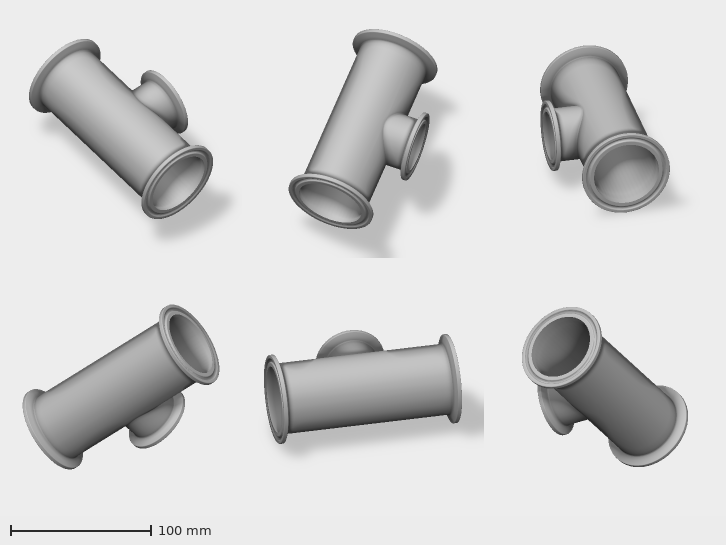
import cadquery as cq
import math

RUN_LENGTH = 130.2
RUN_OUTER_DIAMETER = 50.8
RUN_BORE_DIAMETER = 47.5
RUN_FLANGE_DIAMETER = 63.9

BRANCH_OUTER_DIAMETER = 38.1
BRANCH_BORE_DIAMETER = 34.8
BRANCH_FLANGE_DIAMETER = 50.5
OVERALL_DEPTH = 73.3
BRANCH_REACH = OVERALL_DEPTH - RUN_FLANGE_DIAMETER / 2

RIM_WIDTH = 2.9
CONE_ANGLE = 20.0
RIM_ROUND = 0.5
ROOT_FILLET = 1.0
GROOVE_INSET = 3.9
GROOVE_RADIUS = 1.3
GROOVE_LIP_ROUND = 0.7

JUNCTION_FILLET = 1.0


def clamped_tube(length, tube_diameter, flange_diameter):
    """Solid bar along +Z with a clamp flange whose sealing face is at Z = 0."""
    tube_radius = tube_diameter / 2
    rim_radius = flange_diameter / 2
    cone_length = (rim_radius - tube_radius) * math.tan(math.radians(CONE_ANGLE))

    outline = [
        (0, 0),
        (rim_radius, 0),
        (rim_radius, RIM_WIDTH),
        (tube_radius, RIM_WIDTH + cone_length),
        (tube_radius, length),
        (0, length),
    ]
    body = cq.Workplane("XZ").polyline(outline).close().revolve(360, (0, 0), (0, 1))

    body = body.edges(cq.selectors.RadiusNthSelector(0)).edges("<Z").fillet(ROOT_FILLET)
    body = body.edges(cq.selectors.RadiusNthSelector(-1)).fillet(RIM_ROUND)

    groove_tool = cq.Solid.makeTorus(rim_radius - GROOVE_INSET, GROOVE_RADIUS)
    body = body.cut(cq.Workplane(groove_tool))
    face_edges = body.faces("<Z").edges()
    inner_land_edge = face_edges.edges(cq.selectors.RadiusNthSelector(0))
    outer_land_edge = face_edges.edges(cq.selectors.RadiusNthSelector(1))
    return inner_land_edge.add(outer_land_edge).fillet(GROOVE_LIP_ROUND)


def run_half():
    """Half of the run, from the -X sealing face to the middle."""
    half = clamped_tube(RUN_LENGTH / 2, RUN_OUTER_DIAMETER, RUN_FLANGE_DIAMETER)
    return half.rotate((0, 0, 0), (0, 1, 0), 90).translate((-RUN_LENGTH / 2, 0, 0))


def branch():
    """Branch from its +Y sealing face down to the run axis."""
    body = clamped_tube(BRANCH_REACH, BRANCH_OUTER_DIAMETER, BRANCH_FLANGE_DIAMETER)
    return body.rotate((0, 0, 0), (1, 0, 0), 90).translate((0, BRANCH_REACH, 0))


left_half = run_half()
run = left_half.union(left_half.mirror("YZ")).clean()
tee = run.union(branch())
saddle_edges = cq.selectors.BoxSelector(
    (-BRANCH_OUTER_DIAMETER, 0, -BRANCH_OUTER_DIAMETER),
    (BRANCH_OUTER_DIAMETER, RUN_OUTER_DIAMETER / 2, BRANCH_OUTER_DIAMETER),
)
tee = tee.edges(saddle_edges).edges("not %CIRCLE").edges("not %LINE").fillet(JUNCTION_FILLET)

run_bore = cq.Workplane("YZ").circle(RUN_BORE_DIAMETER / 2).extrude(RUN_LENGTH / 2, both=True)
branch_bore = cq.Workplane("XZ").circle(BRANCH_BORE_DIAMETER / 2).extrude(-BRANCH_REACH)

result = tee.cut(run_bore).cut(branch_bore)